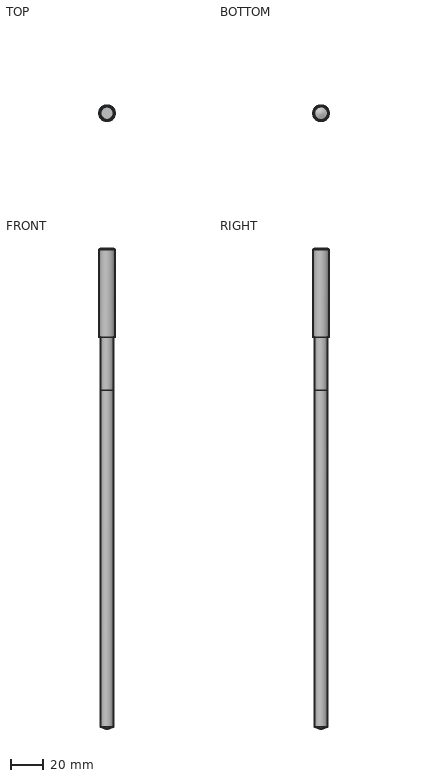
import cadquery as cq
import math

overall_length = 297.51
shank_diameter = 10.0
shank_length = 55.0
shank_chamfer = 1.0
drill_diameter = 8.3
point_angle = 140.0
holder_length = 88.0

shank_radius = shank_diameter / 2
drill_radius = drill_diameter / 2
point_height = drill_radius / math.tan(math.radians(point_angle / 2))
shank_bottom = overall_length - shank_length
cutting_length = overall_length - holder_length


def turned(profile):
    """Revolve a closed (radius, height) profile a full turn about Z."""
    outline = [(-radius, height) for radius, height in profile]
    return cq.Workplane("YZ").polyline(outline).close().revolve(360, (0, 0, 0), (0, 1, 0))


cutting_part = turned([
    (0, 0),
    (drill_radius, point_height),
    (drill_radius, cutting_length),
    (0, cutting_length),
])

holder = turned([
    (0, cutting_length),
    (drill_radius, cutting_length),
    (drill_radius, shank_bottom),
    (shank_radius, shank_bottom),
    (shank_radius, overall_length - shank_chamfer),
    (shank_radius - shank_chamfer, overall_length),
    (0, overall_length),
])

result = cq.Compound.makeCompound([cutting_part.val(), holder.val()])